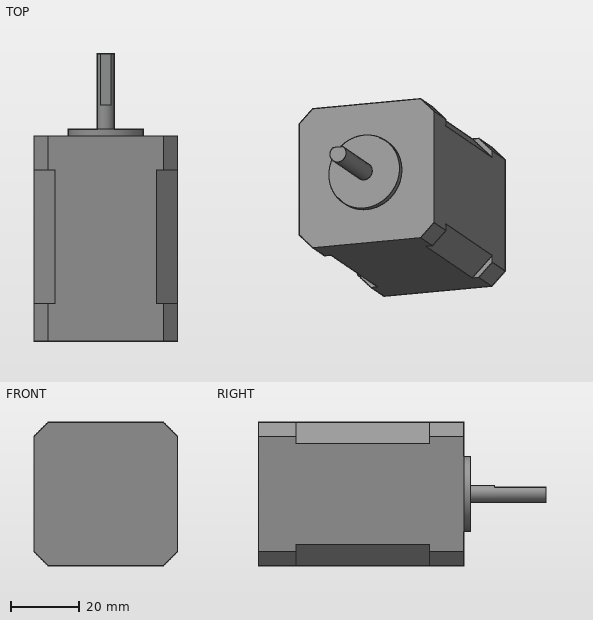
import cadquery as cq

total_length = 84.0
body_width = 42.0

boss_length = 2.0
shaft_length = 22.0
body_length = total_length - boss_length - shaft_length
rear_cap_length = 11.0
front_cap_length = 10.0
stack_length = body_length - rear_cap_length - front_cap_length

cap_chamfer = 4.2
stack_chamfer = 6.2

boss_diameter = 22.0
shaft_diameter = 5.0
flat_length = 15.0
flat_depth = 0.5


def body_section(start_y, length, chamfer):
    """Square block along Y with its four long edges chamfered."""
    block = cq.Workplane("XY").box(body_width, length, body_width)
    return block.edges("|Y").chamfer(chamfer).translate((0, start_y + length / 2, 0))


def cylinder(start_y, length, diameter):
    """Round bar on the motor axis, running toward +Y."""
    plane = cq.Workplane("XZ", origin=(0, start_y, 0))
    return plane.circle(diameter / 2).extrude(-length)


rear_cap = body_section(0, rear_cap_length, cap_chamfer)
stack = body_section(rear_cap_length, stack_length, stack_chamfer)
front_cap = body_section(rear_cap_length + stack_length, front_cap_length, cap_chamfer)

boss = cylinder(body_length, boss_length, boss_diameter)
shaft = cylinder(body_length + boss_length, shaft_length, shaft_diameter)

flat_cutter = cq.Workplane("XY").box(
    shaft_diameter, flat_length, flat_depth, centered=(True, False, False)
)
flat_position = (0, total_length - flat_length, shaft_diameter / 2 - flat_depth)
shaft = shaft.cut(flat_cutter.translate(flat_position))

result = rear_cap.union(stack).union(front_cap).union(boss).union(shaft)